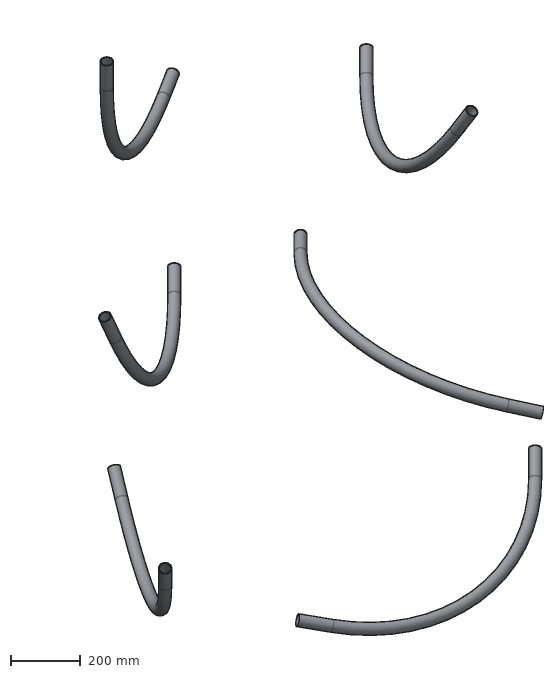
import cadquery as cq

overall_size = 730.0
outer_diameter = 38.0
inner_diameter = 32.0
straight_length = 102.0

bend_radius = overall_size - straight_length - outer_diameter / 2


def pipe_section():
    """Ring in the XY plane, centred on the axis of the vertical leg."""
    return cq.Workplane("XY").circle(outer_diameter / 2).circle(inner_diameter / 2)


vertical_leg = pipe_section().extrude(straight_length)

bend = pipe_section().revolve(90, (0, bend_radius, 0), (1, bend_radius, 0))

horizontal_leg = vertical_leg.rotate((0, 0, 0), (1, 0, 0), -90).translate((0, bend_radius, -bend_radius))

result = vertical_leg.union(bend).union(horizontal_leg)